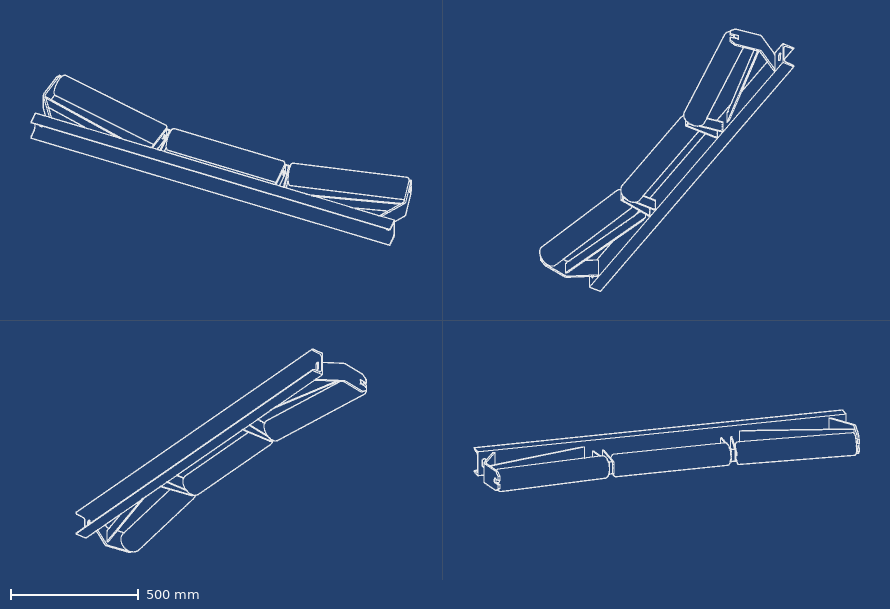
import cadquery as cq
import math

CHANNEL_LENGTH = 1500.0
CHANNEL_HEIGHT = 100.0
FLANGE_WIDTH = 50.0
WEB_THICKNESS = 6.0
FLANGE_MEAN_THICKNESS = 8.5
FLANGE_TAPER = 0.08
FLANGE_ROOT_RADIUS = 9.0
FLANGE_TIP_RADIUS = 6.0
MOUNTING_SLOT_WIDTH = 15.0
MOUNTING_SLOT_HEIGHT = 35.0
MOUNTING_SLOT_X = 725.0

ROLLER_DIAMETER = 89.0
ROLLER_LENGTH = 467.0
ROLLER_END_RADIUS = 8.0
SHAFT_RADIUS = 9.0
SHAFT_PROJECTION = 2.0
BRACKET_GAP = 5.0

MIDDLE_ROLLER_Y = 168.0
OVERALL_HEIGHT = 115.0
WING_ROLLER_X = 498.0
WING_ROLLER_Y = 212.0
TROUGH_ANGLE = 10.0
WING_TILT = 2.4

END_PLATE_WIDTH = 80.0
END_PLATE_THICKNESS = 8.0
END_FOLD_Y = 153.0
END_TIP_Y = 278.0
END_TOE_X = 690.0
END_FOLD_RADIUS = 17.0
TIP_CHAMFER_ALONG = 21.0
TIP_CHAMFER_ACROSS = 15.0

SADDLE_WIDTH = 50.0
SADDLE_THICKNESS = 5.0
SADDLE_TOP_Y = 192.0

BRACE_WIDTH = 50.0
BRACE_THICKNESS = 5.3
BRACE_OUTER_Y = 159.0
BRACE_TOE_X = 316.0

trough = math.radians(TROUGH_ANGLE)
tilt = math.radians(WING_TILT)
slope = math.tan(trough)
roller_radius = ROLLER_DIAMETER / 2
middle_roller_z = CHANNEL_HEIGHT / 2 - OVERALL_HEIGHT + roller_radius
half_span = ROLLER_LENGTH / 2 + BRACKET_GAP
saddle_shaft_end = half_span + SADDLE_THICKNESS + SHAFT_PROJECTION
wing_roller_z = middle_roller_z + ROLLER_LENGTH / 2 * math.sin(tilt)
wing_centre = (-WING_ROLLER_X, WING_ROLLER_Y, wing_roller_z)
wing_axis = (math.cos(trough) * math.cos(tilt), -math.sin(trough) * math.cos(tilt), -math.sin(tilt))
wing_up = (math.sin(trough), math.cos(trough), 0)


def wing_plane_x(distance, y):
    """X at height y on the plane square to the left roller, at a distance along its axis."""
    return -WING_ROLLER_X + distance / math.cos(trough) + (y - WING_ROLLER_Y) * slope


def prism(points, width, middle_z=0):
    """Extrude an XY outline by a width centred on a height along Z."""
    return cq.Workplane("XY", origin=(0, 0, middle_z)).polyline(points).close().extrude(width / 2, both=True)


def make_channel():
    mid_flange = FLANGE_WIDTH / 2
    half_height = CHANNEL_HEIGHT / 2
    inner_z_tip = half_height - FLANGE_MEAN_THICKNESS + FLANGE_TAPER * mid_flange
    inner_y = FLANGE_WIDTH - WEB_THICKNESS
    inner_z_root = inner_z_tip - FLANGE_TAPER * inner_y
    outline = [
        (0, half_height), (FLANGE_WIDTH, half_height), (FLANGE_WIDTH, -half_height), (0, -half_height),
        (0, -inner_z_tip), (inner_y, -inner_z_root), (inner_y, inner_z_root), (0, inner_z_tip),
    ]
    start = cq.Workplane("YZ", origin=(-CHANNEL_LENGTH / 2, 0, 0))
    channel = start.polyline(outline).close().extrude(CHANNEL_LENGTH)
    for sign in (1, -1):
        root = cq.selectors.NearestToPointSelector((0, inner_y, sign * inner_z_root))
        channel = channel.edges(root).fillet(FLANGE_ROOT_RADIUS)
        tip = cq.selectors.NearestToPointSelector((0, 0, sign * inner_z_tip))
        channel = channel.edges(tip).fillet(FLANGE_TIP_RADIUS)
    slots = (
        cq.Workplane("XZ")
        .pushPoints([(-MOUNTING_SLOT_X, 0), (MOUNTING_SLOT_X, 0)])
        .slot2D(MOUNTING_SLOT_HEIGHT, MOUNTING_SLOT_WIDTH, 90)
        .extrude(-FLANGE_WIDTH)
    )
    return channel.cut(slots)


def make_roller(plane, shaft_start, shaft_end):
    """Roller turned about the plane's Y axis, with a shaft between two places on that axis."""
    half = ROLLER_LENGTH / 2
    outline = [
        (0, shaft_start), (SHAFT_RADIUS, shaft_start), (SHAFT_RADIUS, -half), (roller_radius, -half),
        (roller_radius, half), (SHAFT_RADIUS, half), (SHAFT_RADIUS, shaft_end), (0, shaft_end),
    ]
    profile = cq.Workplane(plane).polyline(outline).close()
    roller = profile.revolve(360, (0, 0, 0), (0, 1, 0))
    rims = cq.selectors.RadiusNthSelector(-1)
    return roller.edges("%CIRCLE").edges(rims).fillet(ROLLER_END_RADIUS)


def make_middle_roller():
    plane = cq.Plane((0, MIDDLE_ROLLER_Y, middle_roller_z), xDir=(0, 0, 1), normal=(0, -1, 0))
    return make_roller(plane, -saddle_shaft_end, saddle_shaft_end)


def make_left_roller():
    down = cq.Vector(*wing_up) * -1
    plane = cq.Plane(wing_centre, xDir=down, normal=down.cross(cq.Vector(*wing_axis)))
    end_bracket_shaft_end = half_span + END_PLATE_THICKNESS + SHAFT_PROJECTION
    return make_roller(plane, -end_bracket_shaft_end, saddle_shaft_end)


def make_left_end_bracket():
    """Bent plate with a slanted foot and a slotted leg square to the outer roller."""
    outer = -half_span - END_PLATE_THICKNESS
    fold = cq.Vector(wing_plane_x(outer, END_FOLD_Y), END_FOLD_Y)
    toe = cq.Vector(-END_TOE_X, FLANGE_WIDTH)
    tip = cq.Vector(wing_plane_x(outer, END_TIP_Y), END_TIP_Y)
    foot_run = (toe - fold).normalized()
    leg_normal = cq.Vector(math.cos(trough), -math.sin(trough))
    foot_normal = cq.Vector(-foot_run.y, foot_run.x)
    mitre = (leg_normal + foot_normal) * (END_PLATE_THICKNESS / (1 + leg_normal.dot(foot_normal)))
    inner_fold = fold + mitre
    inner_toe = toe + cq.Vector(END_PLATE_THICKNESS / foot_normal.x, 0)
    inner_tip = tip + leg_normal * END_PLATE_THICKNESS
    corners = [tip, fold, toe, inner_toe, inner_fold, inner_tip]
    bracket = prism([(p.x, p.y) for p in corners], END_PLATE_WIDTH)
    for corner, radius in ((fold, END_FOLD_RADIUS), (inner_fold, END_FOLD_RADIUS - END_PLATE_THICKNESS)):
        bracket = bracket.edges(cq.selectors.NearestToPointSelector(corner.toTuple())).fillet(radius)

    leg = cq.Plane(tip.toTuple(), xDir=wing_up, normal=leg_normal)
    for sign in (1, -1):
        edge = sign * END_PLATE_WIDTH / 2
        corner_cut = (
            cq.Workplane(leg)
            .polyline([(0, edge), (-TIP_CHAMFER_ALONG, edge), (0, edge - sign * TIP_CHAMFER_ACROSS)])
            .close()
            .extrude(END_PLATE_THICKNESS)
        )
        bracket = bracket.cut(corner_cut)

    across = cq.Plane(wing_centre, xDir=wing_up, normal=wing_axis)
    slot_length = 2 * (END_TIP_Y - WING_ROLLER_Y)
    slot = (
        cq.Workplane(across)
        .center(slot_length / 2 - SHAFT_RADIUS, 0)
        .rect(slot_length, 2 * SHAFT_RADIUS)
        .extrude(-ROLLER_LENGTH)
    )
    return bracket.cut(slot)


def make_left_saddle():
    """Plate folded over like a bridge, between the middle roller and the left roller."""
    upright_x = -half_span
    inner_top = SADDLE_TOP_Y - SADDLE_THICKNESS
    roller_side = half_span
    far_side = half_span + SADDLE_THICKNESS
    outline = [
        (upright_x, FLANGE_WIDTH), (upright_x, SADDLE_TOP_Y),
        (wing_plane_x(roller_side, SADDLE_TOP_Y), SADDLE_TOP_Y),
        (wing_plane_x(roller_side, FLANGE_WIDTH), FLANGE_WIDTH),
        (wing_plane_x(far_side, FLANGE_WIDTH), FLANGE_WIDTH),
        (wing_plane_x(far_side, inner_top), inner_top),
        (upright_x - SADDLE_THICKNESS, inner_top), (upright_x - SADDLE_THICKNESS, FLANGE_WIDTH),
    ]
    return prism(outline, SADDLE_WIDTH, middle_roller_z).cut(middle_roller).cut(left_roller)


def make_left_brace():
    """Flat bar from the fold of the end bracket down to the channel."""
    inner_face = -half_span
    run = cq.Vector(-BRACE_TOE_X, FLANGE_WIDTH) - cq.Vector(
        wing_plane_x(inner_face, BRACE_OUTER_Y), BRACE_OUTER_Y
    )
    angle = math.atan2(-run.y, run.x)
    lower_y = BRACE_OUTER_Y - BRACE_THICKNESS / math.cos(angle)
    outline = [
        (wing_plane_x(inner_face, BRACE_OUTER_Y), BRACE_OUTER_Y), (-BRACE_TOE_X, FLANGE_WIDTH),
        (-BRACE_TOE_X - BRACE_THICKNESS / math.sin(angle), FLANGE_WIDTH),
        (wing_plane_x(inner_face, lower_y), lower_y),
    ]
    return prism(outline, BRACE_WIDTH).cut(left_end_bracket)


channel = make_channel()
middle_roller = make_middle_roller()
left_roller = make_left_roller()
left_end_bracket = make_left_end_bracket()
left_saddle = make_left_saddle()
left_brace = make_left_brace()

bodies = [channel.val(), middle_roller.val()]
for body in (left_roller, left_end_bracket, left_saddle, left_brace):
    bodies += [body.val(), body.mirror("YZ").val()]
result = cq.Compound.makeCompound(bodies)